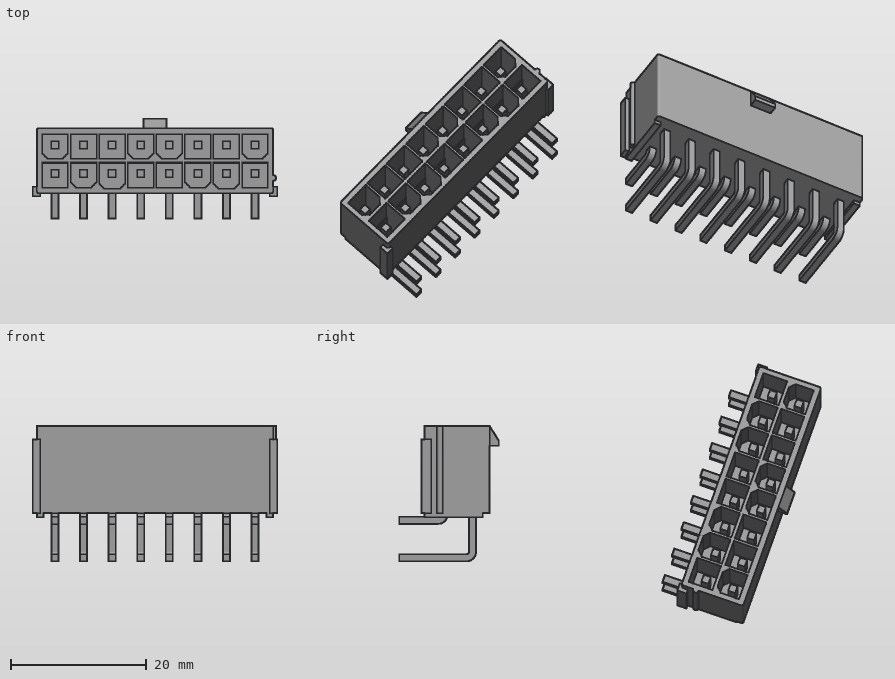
import cadquery as cq


overall_length = 36.0
ear_overhang = 0.6
housing_length = overall_length - 2 * ear_overhang
housing_depth = 9.6
housing_height = 12.8
housing_corner_radius = 0.32

columns = 8
row_length = 29.4
pitch = row_length / (columns - 1)
row_spacing = 4.18
front_row_y = 2.9
rear_row_y = front_row_y + row_spacing
pin_size = 1.08
pin_bend_radius = 0.35
pin_end_y = -3.7
pin_top_z = -3.6
rear_pin_bottom_z = -19.95
tail_spacing = 5.5
front_pin_bottom_z = rear_pin_bottom_z + tail_spacing

cavity_width = 3.8
cavity_depth = 9.72
cavity_chamfer = 0.8
front_cavity_bottom_y = 0.85
front_cavity_top_y = 4.57
rear_cavity_bottom_y = 5.1
rear_cavity_top_y = 8.7
deep_key_extension = 0.2
rear_keyed_columns = (0, 3, 4, 7)
front_keyed_columns = (1, 2, 5, 6)
deep_key_columns = (2, 6)
ledge_width = 0.15
ledge_height = 3.6

ear_width = 1.15
ear_front_y = -0.45
ear_back_y = 1.0
ear_top_z = -1.98

foot_width = 1.0
foot_depth = 8.6
foot_height = 0.65

latch_width = 3.4
latch_reach = 1.35
latch_slope_height = 2.2
latch_height = 2.95

rib_radius = 0.45
rib_y = 2.25


def block(x0, x1, y0, y1, z0, z1):
    """Box between two opposite corners."""
    return cq.Workplane("XY").box(x1 - x0, y1 - y0, z1 - z0, centered=False).translate((x0, y0, z0))


def column_x(column):
    return (column - (columns - 1) / 2) * pitch


def make_housing():
    housing = block(-housing_length / 2, housing_length / 2, 0, housing_depth, -housing_height, 0)
    return housing.edges("|Z").fillet(housing_corner_radius)


def end_block(side, outer_x, width, y0, y1, z0, z1):
    """Box of the given width set inwards from outer_x, on the -X (-1) or +X (+1) end."""
    x0, x1 = sorted((side * outer_x, side * (outer_x - width)))
    return block(x0, x1, y0, y1, z0, z1)


def make_ear(side):
    return end_block(
        side, overall_length / 2, ear_width, ear_front_y, ear_back_y, -housing_height, ear_top_z
    )


def make_foot(side):
    foot_bottom_z = -housing_height - foot_height
    return end_block(
        side, housing_length / 2, foot_width, 0, foot_depth, foot_bottom_z, -housing_height
    )


def make_latch():
    tip_y = housing_depth + latch_reach
    profile = [
        (housing_depth, 0),
        (tip_y, -latch_slope_height),
        (tip_y, -latch_height),
        (housing_depth, -latch_height),
    ]
    return cq.Workplane("YZ").polyline(profile).close().extrude(latch_width / 2, both=True)


def make_rib():
    rib = cq.Workplane("XY").center(housing_length / 2, rib_y).circle(rib_radius)
    return rib.extrude(-housing_height)


def make_cavity(column, bottom_y, top_y, keyed):
    """Contact cavity; a keyed one has its two front corners cut off."""
    left_x = column_x(column) - cavity_width / 2
    cavity = block(left_x, left_x + cavity_width, bottom_y, top_y, -cavity_depth, 0)
    if keyed:
        cavity = cavity.edges("|Z and <Y").chamfer(cavity_chamfer)
    return cavity


def make_front_cavity(column):
    bottom_y = front_cavity_bottom_y
    if column in deep_key_columns:
        bottom_y -= deep_key_extension
    cavity = make_cavity(column, bottom_y, front_cavity_top_y, column in front_keyed_columns)
    half_width = cavity_width / 2
    ledge = block(
        column_x(column) - half_width,
        column_x(column) + half_width,
        front_cavity_top_y - ledge_width,
        front_cavity_top_y,
        -cavity_depth,
        -cavity_depth + ledge_height,
    )
    return cavity.cut(ledge)


def make_rear_cavity(column):
    return make_cavity(column, rear_cavity_bottom_y, rear_cavity_top_y, column in rear_keyed_columns)


def make_pin(column, row_y, bottom_z):
    """Square pin that drops out of the housing and bends towards the front."""
    back_y = row_y + pin_size / 2
    front_y = row_y - pin_size / 2
    tail_top_z = bottom_z + pin_size
    outer_radius = pin_bend_radius + pin_size
    profile = (
        cq.Workplane("YZ")
        .moveTo(front_y, pin_top_z)
        .lineTo(back_y, pin_top_z)
        .lineTo(back_y, bottom_z + outer_radius)
        .radiusArc((back_y - outer_radius, bottom_z), outer_radius)
        .lineTo(pin_end_y, bottom_z)
        .lineTo(pin_end_y, tail_top_z)
        .lineTo(front_y - pin_bend_radius, tail_top_z)
        .radiusArc((front_y, tail_top_z + pin_bend_radius), -pin_bend_radius)
        .close()
    )
    return profile.extrude(pin_size / 2, both=True).translate((column_x(column), 0, 0))


result = make_housing().union(make_latch()).union(make_rib())
for end in (-1, 1):
    result = result.union(make_ear(end)).union(make_foot(end))
for column in range(columns):
    result = result.cut(make_front_cavity(column)).cut(make_rear_cavity(column))
    result = result.union(make_pin(column, front_row_y, front_pin_bottom_z))
    result = result.union(make_pin(column, rear_row_y, rear_pin_bottom_z))